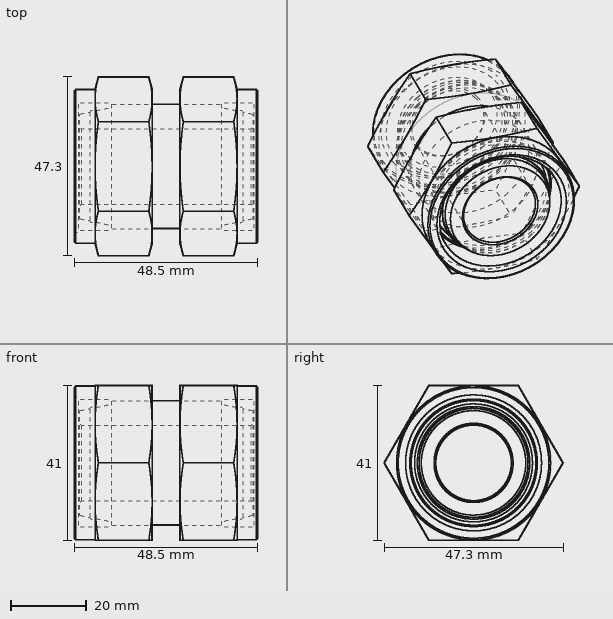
import cadquery as cq
import math

LENGTH = 48.5
NUT_GAP = 7.35
SIDES = (-1, 1)

HEX_LENGTH = 15.1
ACROSS_FLATS = 41.0
HEX_BEVEL_LENGTH = 0.85
COLLAR_RADIUS = 20.35
COLLAR_CHAMFER = 0.45
MOUTH_RADIUS = 18.0
MOUTH_CHAMFER_LENGTH = 1.05
MOUTH_BORE_RADIUS = 16.9
MOUTH_BORE_DEPTH = 9.7

BODY_RADIUS = 16.5
BORE_RADIUS = 10.0
BORE_CHAMFER = 0.5
SLEEVE_RECESS = 1.3
SLEEVE_TIP_RADIUS = 13.8
SLEEVE_CONE_ANGLE = 12.0

BEAD_START = 2.7
BEAD_WIDTH = 1.35
BEAD_HEIGHT = 0.35

corner_radius = ACROSS_FLATS / math.sqrt(3)
nut_inner_end = NUT_GAP / 2
nut_outer_end = LENGTH / 2
hex_outer_end = nut_inner_end + HEX_LENGTH
body_end = nut_outer_end - MOUTH_BORE_DEPTH
sleeve_end = nut_outer_end - SLEEVE_RECESS


def revolve_about_x(profile):
    return profile.close().revolve(360, (0, 0, 0), (1, 0, 0))


def cylinder_along_x(start, end, radius):
    return cq.Workplane("YZ").workplane(offset=start).circle(radius).extrude(end - start)


def place_on_side(shape, side):
    """Shapes are drawn on the +X side; side -1 gives the mirror image."""
    return shape if side > 0 else shape.mirror("YZ")


def make_nut_hexagon():
    """Hexagon whose corners are bevelled at both ends by a cone."""
    prism = (
        cq.Workplane("YZ").workplane(offset=nut_inner_end)
        .polygon(6, 2 * corner_radius).extrude(HEX_LENGTH)
    )
    bevel_envelope = revolve_about_x(
        cq.Workplane("XY")
        .moveTo(nut_inner_end, 0)
        .lineTo(nut_inner_end, ACROSS_FLATS / 2)
        .lineTo(nut_inner_end + HEX_BEVEL_LENGTH, corner_radius)
        .lineTo(hex_outer_end - HEX_BEVEL_LENGTH, corner_radius)
        .lineTo(hex_outer_end, ACROSS_FLATS / 2)
        .lineTo(hex_outer_end, 0)
    )
    return prism.intersect(bevel_envelope)


def make_nut_bore():
    """Stepped bore: a hole that fits the body, the wide mouth and its chamfer."""
    return revolve_about_x(
        cq.Workplane("XY")
        .moveTo(nut_inner_end, 0)
        .lineTo(nut_inner_end, BODY_RADIUS)
        .lineTo(body_end, BODY_RADIUS)
        .lineTo(body_end, MOUTH_BORE_RADIUS)
        .lineTo(nut_outer_end - MOUTH_CHAMFER_LENGTH, MOUTH_BORE_RADIUS)
        .lineTo(nut_outer_end, MOUTH_RADIUS)
        .lineTo(nut_outer_end, 0)
    )


def make_nut(side):
    collar = cylinder_along_x(hex_outer_end, nut_outer_end, COLLAR_RADIUS)
    collar = collar.faces(">X").chamfer(COLLAR_CHAMFER)
    nut = make_nut_hexagon().union(collar).cut(make_nut_bore())
    return place_on_side(nut, side)


def sleeve_radius(distance_from_tip):
    return SLEEVE_TIP_RADIUS + distance_from_tip * math.tan(math.radians(SLEEVE_CONE_ANGLE))


def make_sleeve(side):
    """Conical sleeve with its sealing bead, standing on one end of the body."""
    def cone_point(distance_from_tip, height=0):
        return (sleeve_end - distance_from_tip, sleeve_radius(distance_from_tip) + height)

    bead_middle = BEAD_START + BEAD_WIDTH / 2
    bead_end = BEAD_START + BEAD_WIDTH
    sleeve = revolve_about_x(
        cq.Workplane("XY")
        .moveTo(body_end, 0)
        .lineTo(sleeve_end, 0)
        .lineTo(*cone_point(0))
        .lineTo(*cone_point(BEAD_START))
        .threePointArc(cone_point(bead_middle, BEAD_HEIGHT), cone_point(bead_end))
        .lineTo(*cone_point(sleeve_end - body_end))
    )
    return place_on_side(sleeve, side)


def make_body():
    barrel = cylinder_along_x(-body_end, body_end, BODY_RADIUS)
    for side in SIDES:
        barrel = barrel.union(make_sleeve(side))
    bore = cylinder_along_x(-sleeve_end, sleeve_end, BORE_RADIUS)
    end_faces = barrel.cut(bore).faces("<X or >X")
    return end_faces.edges(cq.selectors.RadiusNthSelector(0)).chamfer(BORE_CHAMFER)


body = make_body()
nuts = [make_nut(side) for side in SIDES]
result = cq.Compound.makeCompound([body.val(), *[nut.val() for nut in nuts]])